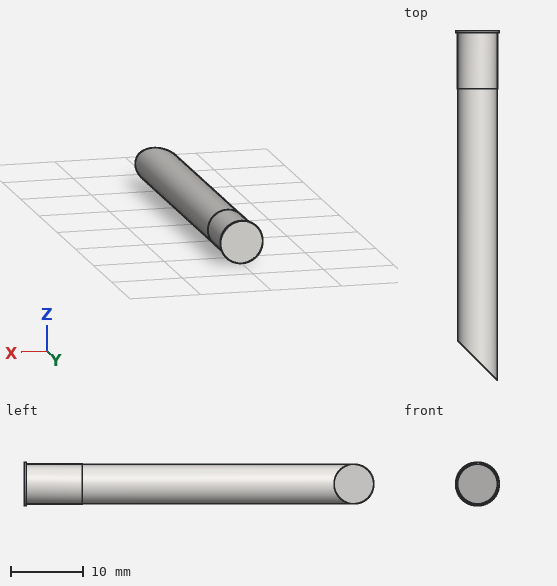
import cadquery as cq

overall_length = 48.0
flange_diameter = 6.0
flange_thickness = 0.3
collar_diameter = 5.5
collar_end_depth = 8.0
shaft_diameter = 5.46

tip_y = -overall_length


def cylinder_along_y(diameter, length):
    """Solid cylinder running from the flange face toward -Y."""
    return cq.Workplane("XZ").circle(diameter / 2).extrude(length)


def tip_cutter():
    """Triangular prism that bevels the tip at 45 degrees, leaving the point on the +X side."""
    bevel_length = shaft_diameter
    shaft_radius = shaft_diameter / 2
    corners = [
        (shaft_radius, tip_y),
        (-shaft_radius, tip_y + bevel_length),
        (-shaft_radius, tip_y),
    ]
    return cq.Workplane("XY").polyline(corners).close().extrude(shaft_radius, both=True)


shaft = cylinder_along_y(shaft_diameter, overall_length).cut(tip_cutter())
collar = cylinder_along_y(collar_diameter, collar_end_depth)
flange = cylinder_along_y(flange_diameter, flange_thickness)

result = shaft.union(collar).union(flange)